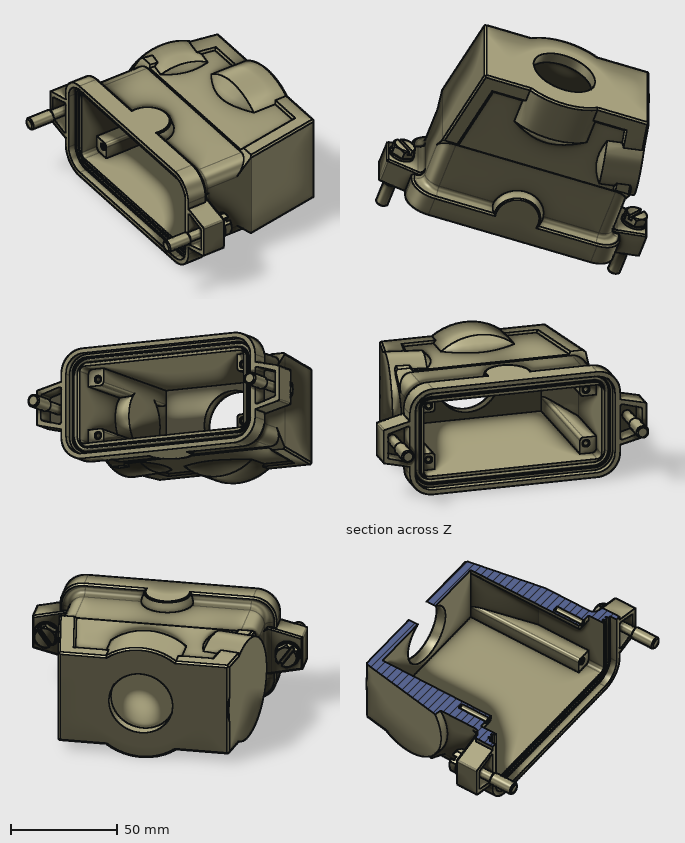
import cadquery as cq
import math

hood_top = 79.9
lean_angle = math.radians(10)
slope = math.tan(lean_angle)
overlap = 1.3

flange_half_x = 51.8
flange_half_z = 26.4
flange_height = 10.5
flange_corner = 11.4
flange_edge = 0.9

neck_half_x = 46.7
neck_half_z = 21.5
neck_corner = 7.0
neck_cove = 3.5

hood_half_z = 23.0
hood_base = 39.1
hood_edge = 0.9
hood_skirt = 31.1
panel_half_z = 22.0
panel_top = 72.9
panel_half_x = 33.5
bevel_angle = 45

top_boss_radius = 28.5
top_boss_bottom = 59.8
top_boss_cone = 7.3
entry_radius = 15.3
side_boss_radius = 25.1
side_boss_height = 55.0
side_boss_length = 17.9
side_boss_cone = 3.9
side_pad = 2.6
side_plug_radius = 15.3

cavity_half_x = 43.8
cavity_half_z = 18.5
cavity_corner = 2.2
cavity_top = 74.6
cavity_floor_half_x = 35.7
cavity_lean_start = 41.5
pillar_end = 12.3
pillar_x = 38.7
pillar_z = 13.5
pillar_side_z = 10.4
pillar_corner = 1.5
pillar_hole_radius = 1.3
pillar_countersink = 0.5
pillar_hole_depth = 15.5

seat_half_x = 49.2
seat_half_z = 24.1
seat_corner = 9.2
seat_depth = 3.6
groove_inset = 1.3
groove_width = 2.7
groove_depth = 1.5
bead_inset = 1.8
bead_width = 1.7
bead_height = 1.2
bead_round = 0.83

swell_height = 11.7
swell_radius = 10.9
swell_root_radius = 12.7
swell_edge = 0.5
swell_embed = 0.6

ear_end_x = 64.8
ear_end_half_z = 8.3
ear_root_half_z = 11.4
ear_height = 12.0
ear_edge = 0.8
ear_corner = 0.8
ear_cove = 2.8
ear_wall = 2.2
ear_roof = 3.0
ear_pocket_corner = 1.0

screw_x = 57.8
screw_end = -16.7
thread_start = -4.5
thread_radius = 3.0
thread_chamfer = 0.6
shank_radius = 2.3
washer_radius = 6.0
washer_top = 13.2
head_top = 17.4
head_corner_diameter = 11.7
head_chamfer = 0.9
slot_width = 1.8
slot_depth = 2.1
slot_angle = 55


def y_plane(height):
    """Sketch plane facing -Y, its local axes along X and Z; negative extrusions rise along +Y."""
    return cq.Workplane("XZ", origin=(0, height, 0))


def rounded_block(half_x, half_z, bottom, top, radius):
    block = y_plane(bottom).rect(2 * half_x, 2 * half_z).extrude(bottom - top)
    return block.edges("|Y").fillet(radius)


def z_prism(points, half_z):
    return cq.Workplane("XY").workplane(offset=-half_z).polyline(points).close().extrude(2 * half_z)


def y_cylinder(radius, bottom, top):
    return y_plane(bottom).circle(radius).extrude(bottom - top)


def make_base():
    """Flange and neck, joined by a concave cove."""
    flange = rounded_block(flange_half_x, flange_half_z, 0, flange_height, flange_corner)
    flange = flange.faces(">Y").edges().chamfer(flange_edge)
    neck = rounded_block(neck_half_x, neck_half_z, 0, hood_base, neck_corner)
    margin = 0.1
    cove_ring = cq.selectors.BoxSelector(
        (-neck_half_x - margin, flange_height - margin, -neck_half_z - margin),
        (neck_half_x + margin, flange_height + margin, neck_half_z + margin),
    )
    return flange.union(neck).edges(cove_ring).fillet(neck_cove)


def make_hood():
    """Leaning hood with bevelled edges, a 45 degree underside and sunken side panels."""
    top_half_x = neck_half_x - (hood_top - hood_base) * slope
    outline = [
        (-neck_half_x, hood_skirt),
        (neck_half_x, hood_skirt),
        (neck_half_x, hood_base),
        (top_half_x, hood_top),
        (-top_half_x, hood_top),
        (-neck_half_x, hood_base),
    ]
    hood = z_prism(outline, hood_half_z).faces("<Z or >Z").edges().chamfer(hood_edge)

    pad_x = top_half_x + side_pad / math.cos(lean_angle)
    pad_outline = [
        (-pad_x, hood_top),
        (0, hood_top),
        (0, side_boss_height),
        (-pad_x - (hood_top - side_boss_height) * slope, side_boss_height),
    ]
    hood = hood.union(z_prism(pad_outline, hood_half_z).faces("<Z or >Z").edges().chamfer(hood_edge))

    skirt_half_z = neck_half_z - neck_corner
    skirt_rise = hood_half_z + overlap - skirt_half_z
    side_profile = [
        (hood_skirt, -skirt_half_z),
        (hood_skirt + skirt_rise, -skirt_half_z - skirt_rise),
        (hood_top, -skirt_half_z - skirt_rise),
        (hood_top, skirt_half_z + skirt_rise),
        (hood_skirt + skirt_rise, skirt_half_z + skirt_rise),
        (hood_skirt, skirt_half_z),
    ]
    envelope = cq.Workplane("YZ").polyline(side_profile).close().extrude(2 * neck_half_x, both=True)
    hood = hood.intersect(envelope)
    hood = hood.faces(">Y").edges("<X or >X").chamfer(hood_edge)

    panel_bottom_half_x = panel_half_x + (panel_top - hood_skirt) * slope
    panel_outline = [
        (-panel_bottom_half_x, hood_skirt),
        (panel_bottom_half_x, hood_skirt),
        (panel_half_x, panel_top),
        (-panel_half_x, panel_top),
    ]
    panel = (
        cq.Workplane("XY")
        .workplane(offset=hood_half_z)
        .polyline(panel_outline)
        .close()
        .extrude(panel_half_z - hood_half_z, taper=bevel_angle)
    )
    return hood.cut(panel).cut(panel.mirror("XY"))


def side_entry_plane(depth):
    """Plane parallel to the -X wall, its normal pointing into the hood."""
    face_x = -neck_half_x - side_pad / math.cos(lean_angle) + (side_boss_height - hood_base) * slope
    inward = cq.Vector(math.cos(lean_angle), -math.sin(lean_angle), 0)
    origin = cq.Vector(face_x, side_boss_height, 0) + inward * depth
    return cq.Workplane(cq.Plane(origin=origin, xDir=(0, 0, 1), normal=inward))


def make_entry_bosses():
    """Cylindrical bosses ending in 45 degree cones."""
    top_boss = y_cylinder(top_boss_radius, top_boss_bottom, hood_top)
    top_boss = top_boss.faces(">Y").edges().chamfer(hood_edge)
    cone = y_plane(top_boss_bottom).circle(top_boss_radius).extrude(top_boss_cone, taper=bevel_angle)
    side_boss = side_entry_plane(0).circle(side_boss_radius).extrude(side_boss_length)
    side_cone = side_entry_plane(side_boss_length).circle(side_boss_radius)
    side_cone = side_cone.extrude(side_boss_cone, taper=bevel_angle)
    return top_boss.union(cone).union(side_boss).union(side_cone)


def make_swells():
    """Tapered discs that widen toward the neck, one on each broad side."""
    disc = (
        cq.Workplane("XY", origin=(0, swell_height, neck_half_z - swell_embed))
        .circle(swell_root_radius)
        .workplane(offset=flange_half_z - neck_half_z + swell_embed)
        .circle(swell_radius)
        .loft()
    )
    disc = disc.faces(">Z").edges().chamfer(swell_edge)
    upper_part = z_prism(
        [
            (-neck_half_x, flange_height / 2),
            (neck_half_x, flange_height / 2),
            (neck_half_x, hood_base),
            (-neck_half_x, hood_base),
        ],
        flange_half_z,
    )
    return disc.union(disc.mirror("XY")).intersect(upper_part)


def make_cavity():
    """Inner space, leaving four screw pillars in the corners."""
    outline = [
        (-cavity_half_x, 0),
        (cavity_half_x, 0),
        (cavity_half_x, cavity_lean_start),
        (cavity_floor_half_x, cavity_top),
        (-cavity_floor_half_x, cavity_top),
        (-cavity_half_x, cavity_lean_start),
    ]
    cavity = z_prism(outline, cavity_half_z)
    cavity = cavity.intersect(rounded_block(cavity_half_x, cavity_half_z, 0, cavity_top, cavity_corner))

    plug = side_entry_plane(0).circle(side_plug_radius).extrude(side_boss_length)
    plug_limit = z_prism(
        [(-hood_top, 0), (-cavity_floor_half_x, 0), (-cavity_floor_half_x, hood_top), (-hood_top, hood_top)],
        hood_half_z,
    )
    cavity = cavity.cut(plug.intersect(plug_limit))

    width = cavity_half_x - cavity_floor_half_x
    depth = cavity_half_z - pillar_side_z
    for side_x in (-1, 1):
        for side_z in (-1, 1):
            center_x = side_x * (cavity_floor_half_x + width / 2 + overlap)
            center_z = side_z * (pillar_side_z + depth / 2 + overlap)
            pillar = (
                y_plane(pillar_end)
                .center(center_x, center_z)
                .rect(width + 2 * overlap, depth + 2 * overlap)
                .extrude(pillar_end - hood_top)
                .edges("|Y")
                .fillet(pillar_corner)
            )
            hole = y_cylinder(pillar_hole_radius, pillar_end, pillar_end + pillar_hole_depth)
            mouth = y_plane(pillar_end).circle(pillar_hole_radius + pillar_countersink)
            hole = hole.union(mouth.extrude(-pillar_countersink, taper=bevel_angle))
            hole = hole.translate((side_x * pillar_x, 0, side_z * pillar_z))
            cavity = cavity.cut(pillar).union(hole)
    return cavity.union(y_cylinder(entry_radius, cavity_top - overlap, hood_top))


def seat_block(inset, depth):
    """Block cut inward from the mating face, set in from the seat outline."""
    return rounded_block(seat_half_x - inset, seat_half_z - inset, 0, depth, seat_corner - inset)


def make_gasket_seat():
    """Stepped recess in the mating face with a grooved floor and a round gasket bead in the groove."""
    groove_bottom = seat_depth + groove_depth
    bead_top = groove_bottom - bead_height
    groove = seat_block(groove_inset, groove_bottom)
    groove = groove.cut(seat_block(groove_inset + groove_width, groove_bottom))
    bead = seat_block(bead_inset, groove_bottom).cut(seat_block(bead_inset + bead_width, groove_bottom))
    bead = bead.cut(seat_block(0, bead_top)).faces("<Y").edges().fillet(bead_round)
    return seat_block(0, seat_depth).union(groove.cut(bead))


def make_ear():
    """Tapered +X lug, coved into the neck."""
    root_x = neck_half_x - overlap
    taper = (ear_root_half_z - ear_end_half_z) / (ear_end_x - flange_half_x)
    root_half_z = ear_root_half_z + (flange_half_x - root_x) * taper
    outline = [
        (root_x, -root_half_z),
        (ear_end_x, -ear_end_half_z),
        (ear_end_x, ear_end_half_z),
        (root_x, root_half_z),
    ]
    ear = y_plane(0).polyline(outline).close().extrude(-ear_height)
    ear = ear.edges("|Y and >X").fillet(ear_corner)
    ear = ear.faces(">Y").edges().chamfer(ear_edge)
    cove = (
        cq.Workplane("XY", origin=(0, 0, -ear_root_half_z))
        .moveTo(root_x, ear_height)
        .lineTo(neck_half_x + ear_cove, ear_height)
        .radiusArc((neck_half_x, ear_height + ear_cove), ear_cove)
        .lineTo(root_x, ear_height + ear_cove)
        .close()
        .extrude(2 * ear_root_half_z)
    )
    return ear.union(cove)


def make_ear_pocket():
    """Open hollow under the +X lug."""
    end_half_z = ear_end_half_z - ear_wall
    root_half_z = ear_root_half_z - ear_wall
    outline = [
        (flange_half_x, -root_half_z),
        (ear_end_x - ear_wall, -end_half_z),
        (ear_end_x - ear_wall, end_half_z),
        (flange_half_x, root_half_z),
    ]
    pocket = y_plane(0).polyline(outline).close().extrude(ear_roof - ear_height)
    return pocket.edges("|Y").fillet(ear_pocket_corner)


def make_screw():
    """Slotted hexagon screw with washer on the +X lug."""
    thread = y_cylinder(thread_radius, screw_end, thread_start).faces("<Y").edges().chamfer(thread_chamfer)
    shank = y_cylinder(shank_radius, thread_start - overlap, washer_top)
    washer = y_cylinder(washer_radius, ear_height, washer_top)
    head = (
        y_plane(washer_top)
        .transformed(rotate=(0, 0, 90))
        .polygon(6, head_corner_diameter)
        .extrude(washer_top - head_top)
    )
    head_crown = y_cylinder(head_corner_diameter / 2, washer_top, head_top)
    head = head.intersect(head_crown.faces(">Y").edges().chamfer(head_chamfer))
    slot = (
        y_plane(head_top)
        .transformed(rotate=(0, 0, slot_angle))
        .rect(2 * head_corner_diameter, slot_width)
        .extrude(slot_depth)
    )
    screw = thread.union(shank).union(washer).union(head.cut(slot))
    return screw.translate((screw_x, 0, 0))


ear = make_ear()
ear_pocket = make_ear_pocket()
screw = make_screw()

result = make_base().union(make_hood()).union(make_entry_bosses()).union(make_swells())
result = result.union(ear).union(ear.mirror("YZ"))
result = result.cut(make_gasket_seat()).cut(make_cavity())
result = result.cut(ear_pocket).cut(ear_pocket.mirror("YZ"))
result = result.union(screw).union(screw.mirror("YZ"))